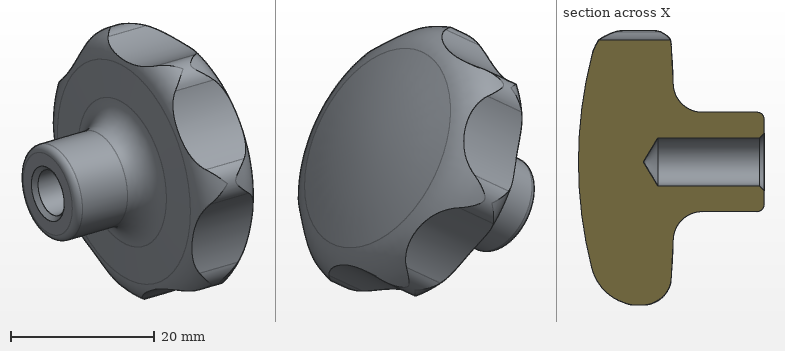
import cadquery as cq
import math

hub_radius = 14.0 / 2
hub_edge_round = 1.0
hub_straight_end = 8.7
neck_round = 4.0

total_height = 26.0
crown_radius = 20.1
crown_start = 17.35
underside_tilt = math.radians(3)
underside_radius = 16.2
crown_round = 7.0

lobe_count = 7
lobe_tip_radius = 20.0
valley_radius = 17.05
lobe_round = 3.45

hole_radius = 6.65 / 2
hole_mouth_radius = 4.0
hole_depth = 14.9
drill_half_angle = math.radians(59)


def circle_point(center, radius, angle):
    """Point on a circle; the angle is in radians."""
    return (center[0] + radius * math.cos(angle), center[1] + radius * math.sin(angle))


def turned_body():
    """Hub and head turned about the Y axis."""
    neck_center = (hub_radius + neck_round, hub_straight_end)
    neck_end_angle = math.pi / 2 + underside_tilt
    neck_mid = circle_point(neck_center, neck_round, (math.pi + neck_end_angle) / 2)
    neck_end = circle_point(neck_center, neck_round, neck_end_angle)

    underside_rise = (underside_radius - neck_end[0]) * math.tan(underside_tilt)
    underside_end = (underside_radius, neck_end[1] + underside_rise)
    rim_round = (lobe_tip_radius - underside_radius) / (1 - math.sin(underside_tilt))
    rim_center = (lobe_tip_radius - rim_round, underside_end[1] + rim_round * math.cos(underside_tilt))
    rim_mid = circle_point(rim_center, rim_round, (underside_tilt - math.pi / 2) / 2)
    rim_top = (lobe_tip_radius, rim_center[1])

    crown_center = (crown_radius - crown_round, crown_start)
    crown_drop = total_height - crown_center[1]
    crown_reach = math.hypot(crown_center[0], crown_drop)
    dome_radius = (crown_reach ** 2 - crown_round ** 2) / (2 * (crown_drop - crown_round))
    dome_center = (0, total_height - dome_radius)
    dome_edge_angle = math.atan2(crown_center[1] - dome_center[1], crown_center[0])
    crown_mid = circle_point(crown_center, crown_round, dome_edge_angle / 2)
    dome_edge = circle_point(dome_center, dome_radius, dome_edge_angle)
    dome_mid = circle_point(dome_center, dome_radius, (dome_edge_angle + math.pi / 2) / 2)

    hub_round_center = (hub_radius - hub_edge_round, hub_edge_round)
    profile = (
        cq.Workplane("XY")
        .lineTo(hub_radius - hub_edge_round, 0)
        .threePointArc(
            circle_point(hub_round_center, hub_edge_round, -math.pi / 4),
            (hub_radius, hub_edge_round),
        )
        .lineTo(hub_radius, hub_straight_end)
        .threePointArc(neck_mid, neck_end)
        .lineTo(*underside_end)
        .threePointArc(rim_mid, rim_top)
        .lineTo(crown_radius, crown_start)
        .threePointArc(crown_mid, dome_edge)
        .threePointArc(dome_mid, (0, total_height))
        .close()
    )
    return profile.revolve(360, (0, 0), (0, 1))


def lobed_prism():
    """Prism whose outline alternates tangent convex lobes and concave valleys."""
    half_pitch = math.pi / lobe_count
    lobe_distance = lobe_tip_radius - lobe_round
    lobe_along_valley = lobe_distance * math.cos(half_pitch)
    lobe_across_valley = lobe_distance * math.sin(half_pitch)

    gap = valley_radius - lobe_along_valley
    valley_round = (gap ** 2 + lobe_across_valley ** 2 - lobe_round ** 2) / (2 * (lobe_round - gap))
    valley_distance = valley_radius + valley_round

    share = valley_round / (valley_round + lobe_round)
    tangent_along = valley_distance + share * (lobe_along_valley - valley_distance)
    tangent_across = share * lobe_across_valley
    tangent_radius = math.hypot(tangent_along, tangent_across)
    tangent_angle = math.atan2(tangent_across, tangent_along)

    origin = (0, 0)
    first_valley = math.pi / 2
    outline = cq.Workplane("XZ").moveTo(*circle_point(origin, tangent_radius, first_valley - tangent_angle))
    for index in range(lobe_count):
        valley = first_valley + 2 * half_pitch * index
        lobe = valley + half_pitch
        next_valley = lobe + half_pitch
        outline = outline.threePointArc(
            circle_point(origin, valley_radius, valley),
            circle_point(origin, tangent_radius, valley + tangent_angle),
        )
        outline = outline.threePointArc(
            circle_point(origin, lobe_tip_radius, lobe),
            circle_point(origin, tangent_radius, next_valley - tangent_angle),
        )
    return outline.close().extrude(-total_height)


def hole_cutter():
    """Drilled hole with a 45 degree chamfer at its mouth."""
    point_length = hole_radius / math.tan(drill_half_angle)
    profile = (
        cq.Workplane("XY")
        .lineTo(hole_mouth_radius, 0)
        .lineTo(hole_radius, hole_mouth_radius - hole_radius)
        .lineTo(hole_radius, hole_depth)
        .lineTo(0, hole_depth + point_length)
        .close()
    )
    return profile.revolve(360, (0, 0), (0, 1))


result = turned_body().intersect(lobed_prism()).cut(hole_cutter())